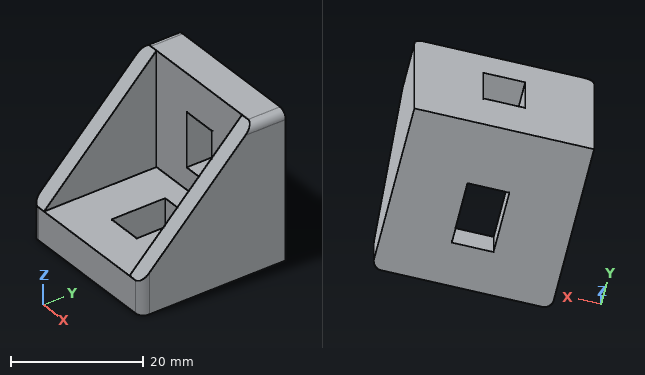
import cadquery as cq

width = 28.0
leg = 27.0
plate = 6.0
side_wall = 3.0
corner_radius = 1.48
slot_width = 6.5
slot_length = 10.0
slot_center = 15.0

inner_width = width - 2 * side_wall


def side_profile_body():
    """Solid bracket with a 45 degree sloping front."""
    profile = [(0, 0), (-leg, 0), (-leg, plate), (-plate, leg), (0, leg)]
    return cq.Workplane("YZ").polyline(profile).close().extrude(width / 2, both=True)


def rounded_envelope(plane, edge_selector):
    """Block centred on the origin, with rounded corners at the free end of each leg."""
    block = cq.Workplane(plane).rect(width, 2 * leg).extrude(leg, both=True)
    return block.edges(edge_selector).fillet(corner_radius)


def inner_pocket():
    """Space between the gusset walls, above the base and in front of the back plate."""
    return (
        cq.Workplane("XY")
        .box(inner_width, leg, leg, centered=(True, False, False))
        .translate((0, -plate - leg, plate))
    )


def slot(plane, center):
    """Rectangular through slot in one leg."""
    return (
        cq.Workplane(plane)
        .center(0, center)
        .rect(slot_width, slot_length)
        .extrude(plate, both=True)
    )


bracket = side_profile_body()
bracket = bracket.intersect(rounded_envelope("XY", "|Z"))
bracket = bracket.intersect(rounded_envelope("XZ", "|Y"))

bracket = bracket.cut(inner_pocket())
bracket = bracket.cut(slot("XY", -slot_center))
bracket = bracket.cut(slot("XZ", slot_center))

result = bracket